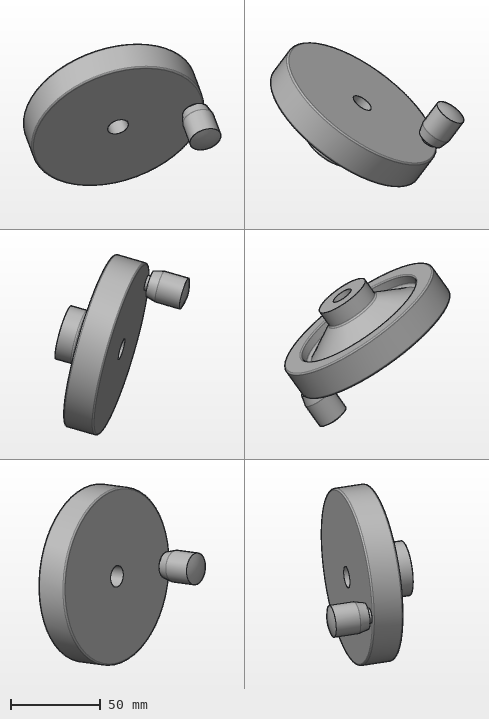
import cadquery as cq
import math


overall_length = 58.16
grip_length = 22.0
stem_length = 2.15
rim_width = 17.85
grip_start = overall_length - grip_length
rim_back = grip_start - stem_length
rim_front = rim_back - rim_width

rim_radius = 100.0 / 2
rim_fillet = 0.9
hub_radius = 31.0 / 2
bore_radius = 12.0 / 2

hub_root_x = 10.15
web_slope = math.radians(58.5)
hub_root_fillet = 1.3
recess_radius = 77.05 / 2
recess_floor_fillet = 1.5
recess_mouth_fillet = 0.8

overall_width = 103.26
grip_radius = 18.0 / 2
grip_neck_radius = 15.0 / 2
grip_taper_length = 5.85
grip_dome_height = 1.9
stem_radius = 8.64 / 2
stem_embed = 1.0
handle_offset = overall_width - rim_radius - grip_radius


def revolve_about_x(profile, axis_offset=0.0):
    """Revolve a closed XY profile about the line Y = axis_offset."""
    return profile.revolve(360, (0, axis_offset, 0), (1, axis_offset, 0))


def ring_edges(solid, x, radius):
    """Pick the largest circular edge centred on the wheel axis at the given X, up to the given radius."""
    tolerance = 0.01
    low = (x - tolerance, -radius - tolerance, -radius - tolerance)
    high = (x + tolerance, radius + tolerance, radius + tolerance)
    in_plane = solid.edges(cq.selectors.BoxSelector(low, high, boundingbox=True))
    return in_plane.edges(cq.selectors.RadiusNthSelector(-1))


def make_wheel():
    corner_x = hub_root_x + (recess_radius - hub_radius) / math.tan(web_slope)
    profile = (
        cq.Workplane("XY")
        .moveTo(0, bore_radius)
        .lineTo(0, hub_radius)
        .lineTo(hub_root_x, hub_radius)
        .lineTo(corner_x, recess_radius)
        .lineTo(rim_front, recess_radius)
        .lineTo(rim_front, rim_radius)
        .lineTo(rim_back, rim_radius)
        .lineTo(rim_back, bore_radius)
        .close()
    )
    wheel = revolve_about_x(profile)
    wheel = ring_edges(wheel, hub_root_x, hub_radius).fillet(hub_root_fillet)
    wheel = ring_edges(wheel, corner_x, recess_radius).fillet(recess_floor_fillet)
    wheel = ring_edges(wheel, rim_front, recess_radius).fillet(recess_mouth_fillet)
    for face_x in (rim_front, rim_back):
        wheel = ring_edges(wheel, face_x, rim_radius).fillet(rim_fillet)
    return wheel


def make_handle():
    stem_root = rim_back - stem_embed
    taper_end = grip_start + grip_taper_length
    dome_start = overall_length - grip_dome_height
    dome_radius = (grip_radius**2 + grip_dome_height**2) / (2 * grip_dome_height)
    half_angle = math.asin(grip_radius / dome_radius) / 2
    dome_middle_x = overall_length - dome_radius * (1 - math.cos(half_angle))
    dome_middle_radius = dome_radius * math.sin(half_angle)

    profile = (
        cq.Workplane("XY")
        .moveTo(stem_root, handle_offset)
        .lineTo(stem_root, handle_offset + stem_radius)
        .lineTo(grip_start, handle_offset + stem_radius)
        .lineTo(grip_start, handle_offset + grip_neck_radius)
        .lineTo(taper_end, handle_offset + grip_radius)
        .lineTo(dome_start, handle_offset + grip_radius)
        .threePointArc(
            (dome_middle_x, handle_offset + dome_middle_radius),
            (overall_length, handle_offset),
        )
        .close()
    )
    return revolve_about_x(profile, handle_offset)


result = make_wheel().union(make_handle())